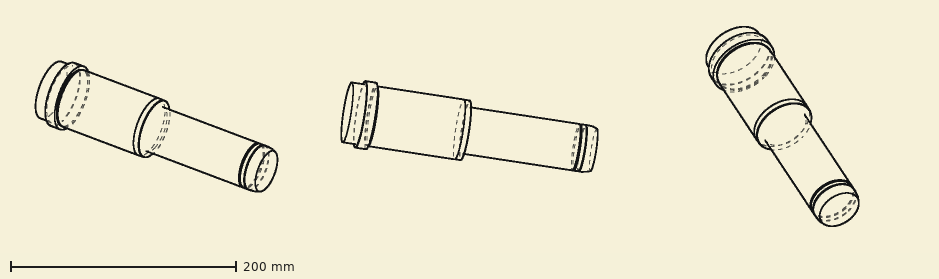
import cadquery as cq
import math

total_length = 223.0
flange_start = 11.5
flange_end = 21.6
lead_start = 101.5
body_end = 107.0
tip_start = 215.6

flange_diameter = 60.0
body_diameter = 54.0
lead_diameter = 53.7
shank_diameter = 42.0
tip_diameter = 38.4

edge_chamfer = 0.5
root_fillet = 0.5
tip_bulge = 0.5

relief_width = 1.3
relief_depth = 0.5

tip_grooves = [(207.0, 1.3), (212.3, 0.7)]
tip_groove_depth = 0.2


def cylinder(start, end, diameter):
    """Solid cylinder on the X axis between two positions."""
    return cq.Workplane("YZ").workplane(offset=start).circle(diameter / 2).extrude(end - start)


def ring(start, width, diameter, depth):
    """Ring that cuts a groove of the given depth into a stage of the given diameter."""
    outer = cylinder(start, start + width, diameter)
    core = cylinder(start, start + width, diameter - 2 * depth)
    return outer.cut(core)


def root_blend(shoulder, diameter, direction):
    """Concave ring that blends a stage into a shoulder; direction points away from the shoulder."""
    radius = diameter / 2
    end = shoulder + direction * root_fillet
    sag = root_fillet * (1 - math.cos(math.pi / 4))
    return (
        cq.Workplane("XY")
        .moveTo(shoulder, 0)
        .lineTo(shoulder, radius + root_fillet)
        .threePointArc((shoulder + direction * sag, radius + sag), (end, radius))
        .lineTo(end, 0)
        .close()
        .revolve(360, (0, 0, 0), (1, 0, 0))
    )


def rounded_tip():
    """Convex nose that narrows the shank to its end face."""
    shank_radius = shank_diameter / 2
    tip_radius = tip_diameter / 2
    middle = ((tip_start + total_length) / 2, (shank_radius + tip_radius) / 2 + tip_bulge)
    return (
        cq.Workplane("XY")
        .moveTo(tip_start, 0)
        .lineTo(tip_start, shank_radius)
        .threePointArc(middle, (total_length, tip_radius))
        .lineTo(total_length, 0)
        .close()
        .revolve(360, (0, 0, 0), (1, 0, 0))
    )


head = cylinder(0, flange_start, body_diameter)
flange = cylinder(flange_start, flange_end, flange_diameter).faces("<X").chamfer(edge_chamfer)
body = cylinder(flange_end, lead_start, body_diameter)
lead = cylinder(lead_start, body_end, lead_diameter).faces(">X").chamfer(edge_chamfer)
shank = cylinder(body_end, tip_start, shank_diameter)

result = head
for stage in (flange, body, lead, shank, rounded_tip()):
    result = result.union(stage)

result = result.union(root_blend(flange_start, body_diameter, -1))
result = result.union(root_blend(body_end, shank_diameter, 1))

result = result.cut(ring(flange_end, relief_width, body_diameter, relief_depth))
for groove_start, groove_width in tip_grooves:
    result = result.cut(ring(groove_start, groove_width, shank_diameter, tip_groove_depth))